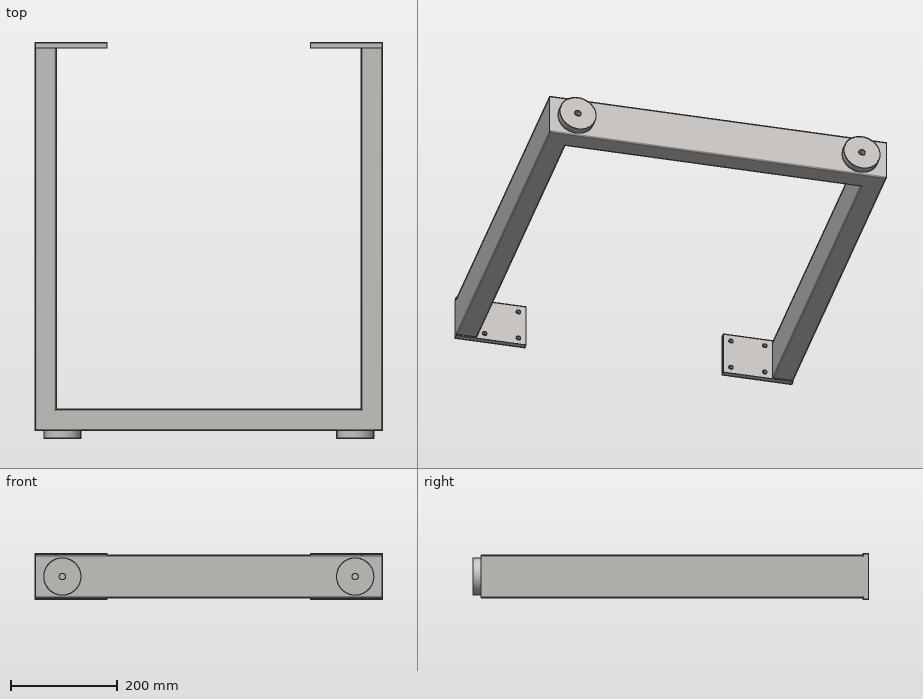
import cadquery as cq

WIDTH = 650.0
LENGTH = 740.0
PLATE_HEIGHT = 85.0

BAR_WIDTH = 40.0
BAR_HEIGHT = 80.0
BAR_EDGE_RADIUS = 2.0

PLATE_LENGTH = 135.0
PLATE_THICKNESS = 10.0
SCREW_HOLE_DIAMETER = 8.0
SCREW_HOLE_END_MARGIN = 15.0
SCREW_HOLE_EDGE_MARGIN = 13.0

FOOT_DIAMETER = 69.5
FOOT_THICKNESS = 15.0
FOOT_INSET = 51.0
FOOT_HOLE_DIAMETER = 12.0

HALF_WIDTH = WIDTH / 2
CROSSBAR_Y = FOOT_THICKNESS
PLATE_Y = LENGTH - PLATE_THICKNESS
FOOT_X = HALF_WIDTH - FOOT_INSET
SIDES = (-1, 1)


def make_bar(width, length):
    """Bar with the width along X and the length along Y, starting at Y = 0."""
    return cq.Workplane("XY").box(width, length, BAR_HEIGHT, centered=(True, False, True))


def make_leg(side):
    """Rounded bar along one side, from the crossbar's outer face to the plate."""
    leg_x = side * (HALF_WIDTH - BAR_WIDTH / 2)
    leg = make_bar(BAR_WIDTH, PLATE_Y - CROSSBAR_Y).edges("|Y").fillet(BAR_EDGE_RADIUS)
    return leg.translate((leg_x, CROSSBAR_Y, 0))


def make_crossbar():
    """Rounded bar across the full width, joining the legs."""
    crossbar = make_bar(WIDTH, BAR_WIDTH).edges("|X").fillet(BAR_EDGE_RADIUS)
    return crossbar.translate((0, CROSSBAR_Y, 0))


def make_mitre_prism(side):
    """Region on the leg's side of the diagonal joint."""
    outer_x = side * HALF_WIDTH
    inner_x = side * (HALF_WIDTH - BAR_WIDTH)
    return (
        cq.Workplane("XY")
        .polyline([
            (outer_x, CROSSBAR_Y),
            (outer_x, PLATE_Y),
            (inner_x, PLATE_Y),
            (inner_x, CROSSBAR_Y + BAR_WIDTH),
        ])
        .close()
        .extrude(BAR_HEIGHT / 2, both=True)
    )


def make_plate(side):
    """Inward-reaching plate with four screw holes beside the leg."""
    plate_x = side * (HALF_WIDTH - PLATE_LENGTH / 2)
    plate = cq.Workplane("XY").box(
        PLATE_LENGTH, PLATE_THICKNESS, PLATE_HEIGHT, centered=(True, False, True)
    ).translate((plate_x, PLATE_Y, 0))

    free_length = PLATE_LENGTH - BAR_WIDTH
    holes_x = side * (HALF_WIDTH - BAR_WIDTH - free_length / 2)
    hole_spacing_x = free_length - 2 * SCREW_HOLE_END_MARGIN
    hole_spacing_z = PLATE_HEIGHT - 2 * SCREW_HOLE_EDGE_MARGIN
    holes = (
        cq.Workplane("XZ", origin=(holes_x, PLATE_Y, 0))
        .rarray(hole_spacing_x, hole_spacing_z, 2, 2)
        .circle(SCREW_HOLE_DIAMETER / 2)
        .extrude(-PLATE_THICKNESS)
    )
    return plate.cut(holes)


def make_frame():
    """U-shaped mitred frame with its mounting plates, as one welded body."""
    frame = make_crossbar()
    for side in SIDES:
        frame = frame.cut(make_mitre_prism(side))
        mitred_leg = make_leg(side).intersect(make_mitre_prism(side))
        frame = frame.union(mitred_leg).union(make_plate(side))
    return frame


def make_foot(side):
    """Disc with a central through hole, seated on the crossbar's outer face."""
    return (
        cq.Workplane("XZ", origin=(side * FOOT_X, FOOT_THICKNESS, 0))
        .circle(FOOT_DIAMETER / 2)
        .circle(FOOT_HOLE_DIAMETER / 2)
        .extrude(FOOT_THICKNESS)
    )


frame = make_frame()
feet = [make_foot(side).val() for side in SIDES]
result = cq.Compound.makeCompound([frame.val(), *feet])